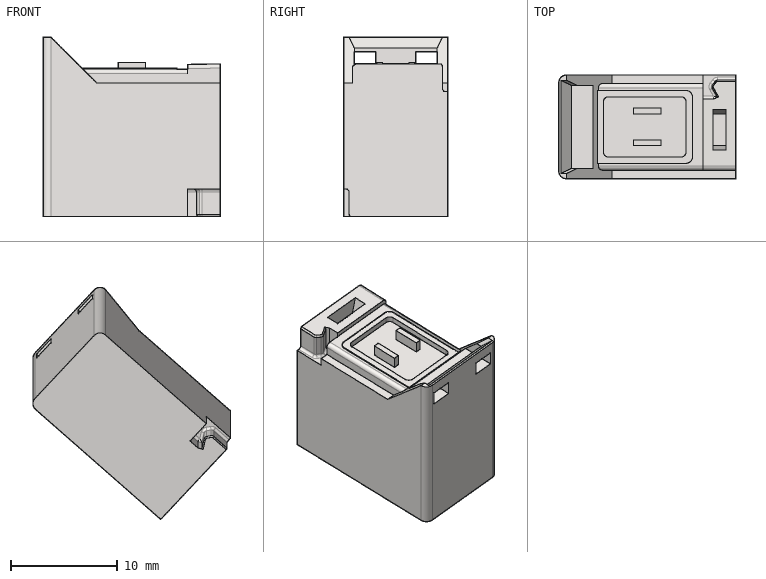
import cadquery as cq

length = 16.7
width = 9.8
height = 16.9
half_width = width / 2
corner_radius = 0.75
shoulder_z = 12.6

deck_half_width = 4.09
deck_z = 13.9
deck_radius = 0.4
pad_step = 0.1
pad_z = deck_z + pad_step
pad_end_x = 12.6
pad_half_width = 3.43
pad_radius = 0.6
recess_margin = 0.59
recess_start_x = 4.2
recess_radius = 1.0 / 2
recess_depth = 0.59
recess_floor_z = pad_z - recess_depth
pin_start_x = 7.06
pin_length = 2.6
pin_width = 0.54
pin_spacing = 3.0
pin_top_z = 14.53

end_x = 13.6
end_low_z = 14.35
end_high_z = 14.4
end_z = (end_low_z + end_high_z) / 2
slot_start_x = 14.53
slot_width = 1.25
slot_length = 3.84
slot_center_y = -0.27
slot_taper = 0.42
slot_depth = 1.69

lip = 0.2
wall = 1.22
pocket_floor_z = 14.42
pocket_half_width = 3.9
pocket_flare = 0.49
window_width = 2.01
window_height = 1.37
window_drop = 0.27

notch_depth = 2.59
notch_inner_y = 2.62
hook_face_y = 4.41
hook_face_x = 14.84
hook_nose = (14.38, 3.8)
hook_tip = (14.95, 2.79)
notch_bend_x = 14.62
hook_radius = 0.3
hook_floor_radius = 0.27
hook_bevel_height = 0.2
hook_bevel_width = 0.12

overrun = 0.85
margin = 0.07


def box(x0, x1, y0, y1, z0, z1):
    """Box between two limits on each axis."""
    return cq.Workplane("XY").box(x1 - x0, y1 - y0, z1 - z0, centered=False).translate((x0, y0, z0))


def body():
    """Block with a 45 degree slope from the top of the front wall down to the shoulder."""
    slope_end_x = corner_radius + height - shoulder_z
    return (
        cq.Workplane("XZ", origin=(0, half_width, 0))
        .polyline([
            (0, 0),
            (length, 0),
            (length, shoulder_z),
            (slope_end_x, shoulder_z),
            (corner_radius, height),
            (0, height),
        ])
        .close()
        .extrude(width)
        .edges("|Z and <X")
        .fillet(corner_radius)
    )


def deck():
    """Deck with rounded long edges, topped by the pad; both start inside the slope."""
    base = box(corner_radius, end_x, -deck_half_width, deck_half_width, shoulder_z, deck_z)
    base = base.edges("|X and >Z").fillet(deck_radius)
    pad = box(corner_radius, pad_end_x, -pad_half_width, pad_half_width, shoulder_z, pad_z)
    return base.union(pad.edges("|Z and >X").fillet(pad_radius))


def recess():
    half = pad_half_width - recess_margin
    cavity = box(recess_start_x, pad_end_x - recess_margin, -half, half, recess_floor_z, pad_z + overrun)
    return cavity.edges("|Z").fillet(recess_radius)


def pin(center_y):
    half = pin_width / 2
    return box(
        pin_start_x, pin_start_x + pin_length,
        center_y - half, center_y + half,
        shoulder_z, pin_top_z,
    )


def end_block():
    """Block reaching the +Y side, rounded along its top edge on the -Y side."""
    return (
        cq.Workplane("XZ", origin=(0, half_width, 0))
        .polyline([
            (end_x, shoulder_z),
            (length, shoulder_z),
            (length, end_high_z),
            (end_x, end_low_z),
        ])
        .close()
        .extrude(half_width + deck_half_width)
        .faces("<Y")
        .edges(">Z")
        .fillet(deck_radius)
    )


def slot():
    """Blind slot whose two short ends slope inwards."""
    slope = slot_taper / slot_depth
    top_half = slot_length / 2 + overrun * slope
    bottom_half = slot_length / 2 - slot_taper
    return (
        cq.Workplane("YZ", origin=(slot_start_x, slot_center_y, end_z))
        .polyline([
            (-top_half, overrun),
            (top_half, overrun),
            (bottom_half, -slot_depth),
            (-bottom_half, -slot_depth),
        ])
        .close()
        .extrude(slot_width)
    )


def pocket():
    """Straight pocket behind the front wall, with a flared mouth at the top."""
    rim_z = height - (wall - lip)
    back_x = corner_radius + height - pocket_floor_z + overrun
    straight = box(wall, back_x, -pocket_half_width, pocket_half_width, pocket_floor_z, height)
    mouth_half = pocket_half_width + pocket_flare
    mouth = (
        cq.Workplane("XY", origin=(0, 0, rim_z))
        .moveTo((wall + back_x) / 2, 0)
        .rect(back_x - wall, 2 * pocket_half_width)
        .workplane(offset=height - rim_z)
        .moveTo((lip + back_x) / 2, 0)
        .rect(back_x - lip, 2 * mouth_half)
        .loft(ruled=True)
    )
    return straight.union(mouth)


def window(outer_y):
    """Opening through the front wall with a ceiling that falls inwards."""
    ceiling_z = pocket_floor_z + window_height
    return (
        cq.Workplane("XZ", origin=(0, outer_y, 0))
        .polyline([
            (0, pocket_floor_z),
            (wall, pocket_floor_z),
            (wall, ceiling_z - window_drop),
            (0, ceiling_z),
        ])
        .close()
        .extrude(window_width)
    )


def hook_notch():
    """Notch on the +Y side, open towards +Z at Z = 0, leaving a hook beside it."""
    outline = (
        cq.Workplane("XY", origin=(0, 0, -notch_depth))
        .polyline([
            (end_x, notch_inner_y),
            (notch_bend_x, notch_inner_y),
            hook_tip,
            hook_nose,
            (hook_face_x, hook_face_y),
            (length + overrun, hook_face_y),
            (length + overrun, half_width + overrun),
            (end_x, half_width + overrun),
        ])
        .close()
        .extrude(notch_depth + overrun)
    )
    nose = cq.selectors.BoxSelector(
        (hook_nose[0] - margin, hook_nose[1] - margin, -notch_depth),
        (hook_face_x + margin, hook_face_y + margin, overrun),
    )
    outline = outline.edges("|Z").edges(nose).fillet(hook_radius)
    hook_wall = cq.selectors.BoxSelector(
        (end_x + margin, notch_inner_y - margin, -notch_depth - margin),
        (length + overrun - margin, hook_face_y + margin, -notch_depth + margin),
    )
    return outline.edges(hook_wall).fillet(hook_floor_radius)


def bevel_hook_edge(part, side, z, first_length, second_length):
    """Bevel the edge between the hook and the face at height z.

    The two lengths follow the order in which the solid stores the faces meeting at the edge.
    """
    near_y = side * (hook_tip[1] + margin)
    far_y = side * (hook_face_y + margin)
    edge_area = cq.selectors.BoxSelector(
        (hook_nose[0], min(near_y, far_y), z - margin),
        (length - margin, max(near_y, far_y), z + margin),
    )
    return part.edges(edge_area).chamfer(first_length, second_length)


result = body().union(deck()).cut(recess())
for side in (-1, 1):
    result = result.union(pin(side * pin_spacing / 2))
result = result.cut(pocket())
for outer_y in (pocket_half_width, window_width - pocket_half_width):
    result = result.cut(window(outer_y))
result = result.union(end_block()).cut(slot())

top_notch = hook_notch().translate((0, 0, end_z))
bottom_notch = hook_notch().rotate((0, 0, 0), (1, 0, 0), 180)
result = result.cut(top_notch).cut(bottom_notch)
result = bevel_hook_edge(result, 1, end_z, hook_bevel_height, hook_bevel_width)
result = bevel_hook_edge(result, -1, 0, hook_bevel_width, hook_bevel_height)